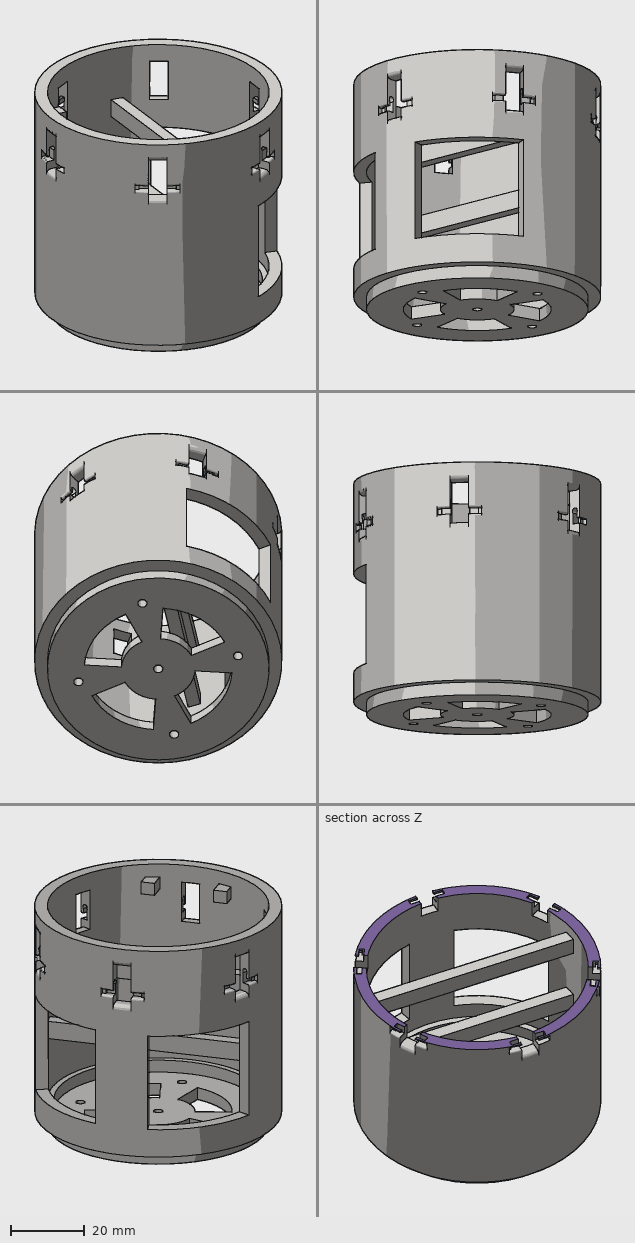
import cadquery as cq
import math

HEIGHT = 63.5
OUTER_RADIUS = 33.5
WALL = 3.5
BORE_RADIUS = OUTER_RADIUS - WALL
SPIGOT_HEIGHT = WALL
FLOOR_TOP = SPIGOT_HEIGHT
LEDGE_TOP = FLOOR_TOP + WALL
LEDGE_WIDTH = WALL / 2
OVERSHOOT = 0.7

HOLE_DIAMETER = 2.5
HOLE_CIRCLE_RADIUS = 22.05
FLOOR_REPEATS = 4
VENT_INNER_RADIUS = 10.0
VENT_OUTER_RADIUS = 20.0
VENT_START = 15.0
VENT_SWEEP = 60.0

SIDE_WINDOW_BOTTOM = 11.45
SIDE_WINDOW_TOP = 38.7
SIDE_WINDOW_SWEEP = 52.0
SIDE_WINDOW_STARTS = (24.5, 102.2)

BAR_FRONT = 2.3
BAR_TOPS = (28.4, 48.4)
BAR_DEPTH = WALL
BAR_HEIGHT = 5.0

TAB_WIDTH = 3.75
TAB_OFFSET = 10.25
TAB_TIP = 23.85
TAB_TOP = 59.75
TAB_HEIGHT = WALL

SINK_DEPTH = 0.35

LATCH_COUNT = 6
FRONT_ANGLE = -90.0
LATCH_WIDTH = 5.0
LATCH_BOTTOM = 47.0
LATCH_TOP = 58.5
LATCH_ROUNDING = 1.3
ARM_BOTTOM = 49.4
ARM_TOP = 51.0
ARM_ROUNDING = 0.55
ARM_HALF_SPAN = 6.1
ARM_END_RADIUS = 31.7
TRACK_HALF_SPAN = 5.0
TRACK_INNER_RADIUS = 31.1
TRACK_OUTER_RADIUS = 32.4
SOCKET_DIAMETER = 1.7
SOCKET_TOP = 53.65


def ring_sector(inner, outer, start, sweep, bottom, top):
    """Part of a ring between two radial planes, angles in degrees from +X."""
    section = cq.Workplane("XZ").moveTo((inner + outer) / 2, (bottom + top) / 2)
    sector = section.rect(outer - inner, top - bottom).revolve(sweep, (0, 0), (0, 1))
    return sector.rotate((0, 0, 0), (0, 0, 1), start)


def box_between(x_range, y_range, z_range):
    """Box from its lower and upper limit along each axis."""
    limits = (x_range, y_range, z_range)
    size = [high - low for low, high in limits]
    low_corner = tuple(low for low, _ in limits)
    return cq.Workplane("XY").box(*size, centered=False).translate(low_corner)


def body():
    tube = cq.Workplane("XY").workplane(offset=SPIGOT_HEIGHT).circle(OUTER_RADIUS)
    tube = tube.extrude(HEIGHT - SPIGOT_HEIGHT)
    spigot = cq.Workplane("XY").circle(BORE_RADIUS).extrude(SPIGOT_HEIGHT)
    bore = cq.Workplane("XY").workplane(offset=LEDGE_TOP).circle(BORE_RADIUS).extrude(HEIGHT)
    recess = cq.Workplane("XY").workplane(offset=FLOOR_TOP).circle(BORE_RADIUS - LEDGE_WIDTH)
    return tube.union(spigot).cut(bore).cut(recess.extrude(HEIGHT))


def floor_holes():
    ring = cq.Workplane("XY").polarArray(HOLE_CIRCLE_RADIUS, 0, 360, FLOOR_REPEATS).circle(HOLE_DIAMETER / 2)
    center = cq.Workplane("XY").circle(HOLE_DIAMETER / 2)
    return ring.extrude(FLOOR_TOP).union(center.extrude(FLOOR_TOP))


def floor_vent(index):
    start = VENT_START + 360 / FLOOR_REPEATS * index
    return ring_sector(VENT_INNER_RADIUS, VENT_OUTER_RADIUS, start, VENT_SWEEP, 0, FLOOR_TOP)


def side_window(start):
    return ring_sector(BORE_RADIUS - OVERSHOOT, OUTER_RADIUS + OVERSHOOT, start, SIDE_WINDOW_SWEEP,
                       SIDE_WINDOW_BOTTOM, SIDE_WINDOW_TOP)


def inner_fittings():
    """Crossbars and stop tabs, trimmed so that their ends sink into the wall."""
    fittings = cq.Workplane("XY")
    for top in BAR_TOPS:
        bar = box_between((-OUTER_RADIUS, OUTER_RADIUS), (BAR_FRONT, BAR_FRONT + BAR_DEPTH),
                          (top - BAR_HEIGHT, top))
        fittings = fittings.add(bar)
    for side in (-1, 1):
        middle = side * TAB_OFFSET
        tab = box_between((middle - TAB_WIDTH / 2, middle + TAB_WIDTH / 2), (-OUTER_RADIUS, -TAB_TIP),
                          (TAB_TOP - TAB_HEIGHT, TAB_TOP))
        fittings = fittings.add(tab)
    core = cq.Workplane("XY").circle(BORE_RADIUS + SINK_DEPTH).extrude(HEIGHT)
    return fittings.combine().intersect(core)


def rounded_mouth(inner, bottom, top, rounding):
    """Ring-shaped cutter whose mouth flares out to round the outer edges of an opening."""
    throat = OUTER_RADIUS - rounding
    diagonal = rounding * math.sqrt(0.5)
    profile = (
        cq.Workplane("XZ")
        .moveTo(inner, bottom)
        .lineTo(throat, bottom)
        .threePointArc((throat + diagonal, bottom - rounding + diagonal), (OUTER_RADIUS, bottom - rounding))
        .lineTo(OUTER_RADIUS + OVERSHOOT, bottom - rounding)
        .lineTo(OUTER_RADIUS + OVERSHOOT, top + rounding)
        .lineTo(OUTER_RADIUS, top + rounding)
        .threePointArc((throat + diagonal, top + rounding - diagonal), (throat, top))
        .lineTo(inner, top)
        .close()
    )
    return profile.revolve(360, (0, 0), (0, 1))


def latch_opening(right_arm_rounded=True):
    """Window, arms and pivot track of one latch, at +X with its right arm towards +Y."""
    x_range = (0, OUTER_RADIUS + OVERSHOOT)
    z_range = (0, HEIGHT)
    arm_range = (ARM_BOTTOM, ARM_TOP)
    half_width = LATCH_WIDTH / 2

    window = rounded_mouth(BORE_RADIUS - OVERSHOOT, LATCH_BOTTOM, LATCH_TOP, LATCH_ROUNDING)
    opening = window.intersect(box_between(x_range, (-half_width, half_width), z_range))

    track_span = (-TRACK_HALF_SPAN, TRACK_HALF_SPAN)
    socket_center = SOCKET_TOP - SOCKET_DIAMETER / 2
    track_center = (TRACK_INNER_RADIUS + TRACK_OUTER_RADIUS) / 2
    entry = box_between((TRACK_INNER_RADIUS, x_range[1]), track_span, arm_range)
    ends = box_between((ARM_END_RADIUS, x_range[1]), (-ARM_HALF_SPAN, ARM_HALF_SPAN), arm_range)
    rise = box_between((TRACK_INNER_RADIUS, TRACK_OUTER_RADIUS), track_span, (ARM_BOTTOM, socket_center))
    socket = cq.Workplane("XZ").center(track_center, socket_center).circle(SOCKET_DIAMETER / 2)
    socket = socket.extrude(TRACK_HALF_SPAN, both=True)

    arm_mouth = rounded_mouth(TRACK_OUTER_RADIUS, ARM_BOTTOM, ARM_TOP, ARM_ROUNDING)
    rounded_to = ARM_HALF_SPAN if right_arm_rounded else 0
    arm_mouth = arm_mouth.intersect(box_between(x_range, (-ARM_HALF_SPAN, rounded_to), z_range))

    for cutter in (entry, ends, rise, socket, arm_mouth):
        opening = opening.union(cutter)
    return opening


result = body().cut(floor_holes())
for index in range(FLOOR_REPEATS):
    result = result.cut(floor_vent(index))
for window_start in SIDE_WINDOW_STARTS:
    result = result.cut(side_window(window_start))
result = result.union(inner_fittings())
for index in range(LATCH_COUNT):
    opening = latch_opening(right_arm_rounded=index > 0)
    angle = FRONT_ANGLE + 360 / LATCH_COUNT * index
    result = result.cut(opening.rotate((0, 0, 0), (0, 0, 1), angle))